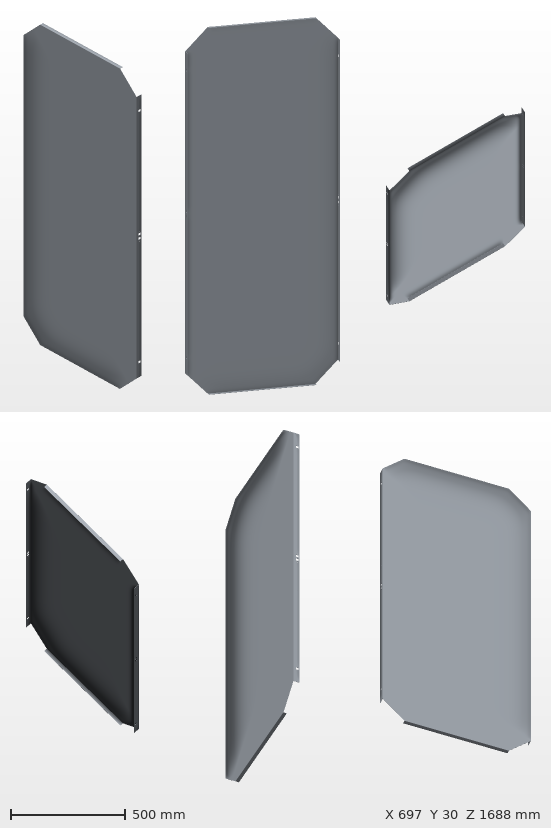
import cadquery as cq

width = 697.0
depth = 30.0
height = 1688.0
sheet = 1.0
bend_radius = 0.8

corner_clip = 103.0
end_flange_depth = 17.0

hole_line_y = 19.0
square_hole_size = 12.0
small_hole_diameter = 4.2
end_hole_z = 662.0
middle_hole_z = 11.0
small_hole_z = 25.0

side_flange_length = height - 2 * corner_clip
end_flange_length = width - 2 * corner_clip


def make_face_sheet():
    """Flat octagonal sheet with its outer face on the plane Y = 0."""
    return (
        cq.Workplane("XY")
        .box(width, sheet, height, centered=(True, False, True))
        .edges("|Y")
        .chamfer(corner_clip)
    )


def make_side_flange(side):
    """Long flange on the left (-1) or right (+1) edge."""
    return (
        cq.Workplane("XY")
        .box(sheet, depth, side_flange_length, centered=(True, False, True))
        .translate((side * (width - sheet) / 2, 0, 0))
    )


def make_end_flange(end):
    """Short flange on the bottom (-1) or top (+1) edge."""
    return (
        cq.Workplane("XY")
        .box(end_flange_length, end_flange_depth, sheet, centered=(True, False, True))
        .translate((0, 0, end * (height - sheet) / 2))
    )


def hole_points(distance):
    """Two places along a side flange, symmetric about mid-height."""
    return cq.Workplane("YZ").pushPoints([(hole_line_y, -distance), (hole_line_y, distance)])


result = make_face_sheet()
for direction in (-1, 1):
    result = result.union(make_side_flange(direction))
    result = result.union(make_end_flange(direction))

result = result.edges("(<Z or >Z) and <Y").fillet(bend_radius)

for square_hole_z in (end_hole_z, middle_hole_z):
    squares = hole_points(square_hole_z).rect(square_hole_size, square_hole_size)
    result = result.cut(squares.extrude(width, both=True))

circles = hole_points(small_hole_z).circle(small_hole_diameter / 2)
result = result.cut(circles.extrude(width, both=True))